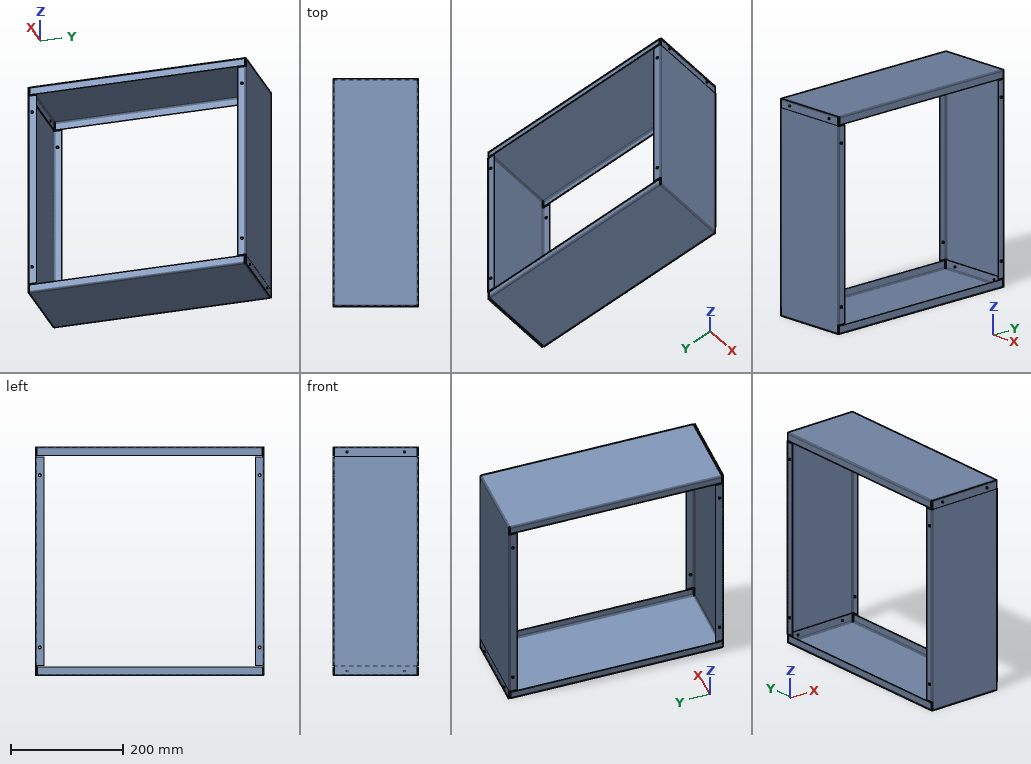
import cadquery as cq

frame_depth = 152.5
frame_side = 408.0

sheet = 1.5
bend_radius = 2.53
flange_width = 16.0
flange_setback = 3.5
tab_height = 17.5
wall_flange_inset = 18.0

mount_hole_diameter = 4.5
mount_hole_inset = 50.5
lap_hole_diameter = 3.5
tab_hole_diameter = 3.35
screw_spacing = 102.0
screw_inset = 9.0

half_depth = frame_depth / 2
half_side = frame_side / 2
inner_radius = bend_radius - sheet
inner_side = half_side - sheet
half_flat = half_depth - bend_radius
bend_start = half_side - bend_radius
wall_flange_end = half_side - wall_flange_inset


def round_bend(body, outer_corner, inner_corner):
    """Round both edges of a bend, each picked by its middle point."""
    outer_edge = cq.selectors.NearestToPointSelector(outer_corner)
    inner_edge = cq.selectors.NearestToPointSelector(inner_corner)
    return body.edges(outer_edge).fillet(bend_radius).edges(inner_edge).fillet(inner_radius)


def folded_strip():
    """Tab, panel, wall and lap between the side flanges, folded from one strip."""
    tab_outer = -inner_side
    tab_inner = tab_outer + sheet
    tab_end = half_side - tab_height
    profile = [
        (tab_outer, tab_end),
        (tab_outer, half_side),
        (half_side, half_side),
        (half_side, -half_side),
        (inner_side, -half_side),
        (inner_side, inner_side),
        (tab_inner, inner_side),
        (tab_inner, tab_end),
    ]
    strip = cq.Workplane("YZ").polyline(profile).close().extrude(half_flat, both=True)
    strip = round_bend(strip, (0, half_side, half_side), (0, inner_side, inner_side))
    return round_bend(strip, (0, tab_outer, half_side), (0, tab_inner, inner_side))


def panel_flanges(y_start, y_end):
    """Pair of flanges turned down from the two long edges of the top panel."""
    flange_inner = half_depth - sheet
    flange_edge = half_side - flange_width
    flange = (
        cq.Workplane("XZ", origin=(0, y_end, 0))
        .moveTo(half_flat, half_side)
        .radiusArc((half_depth, bend_start), bend_radius)
        .lineTo(half_depth, flange_edge)
        .lineTo(flange_inner, flange_edge)
        .lineTo(flange_inner, bend_start)
        .radiusArc((half_flat, inner_side), -inner_radius)
        .close()
        .extrude(y_end - y_start)
    )
    return flange, flange.mirror("YZ")


def wall_flanges():
    """The same flange section, turned onto the +Y wall."""
    flanges = panel_flanges(-wall_flange_end, wall_flange_end)
    return [flange.rotate((0, 0, 0), (1, 0, 0), -90) for flange in flanges]


def screw_hole_cutter(diameter, y, z):
    """Pair of pins along Y, centred on the sheet at y."""
    return (
        cq.Workplane("XZ", origin=(0, y, z))
        .pushPoints([(-screw_spacing / 2, 0), (screw_spacing / 2, 0)])
        .circle(diameter / 2)
        .extrude(sheet, both=True)
    )


def mount_hole_cutter():
    """Pair of pins along X through both wall flanges."""
    y = half_side - flange_width / 2
    z = half_side - mount_hole_inset
    return (
        cq.Workplane("YZ")
        .pushPoints([(y, -z), (y, z)])
        .circle(mount_hole_diameter / 2)
        .extrude(half_depth, both=True)
    )


def make_bracket():
    """Bracket with the top panel, the +Y wall and the tab on the -Y side."""
    bracket = folded_strip()
    for flange in panel_flanges(flange_setback - half_side, bend_start):
        bracket = bracket.union(flange)
    for flange in wall_flanges():
        bracket = bracket.union(flange)
    tab_middle = -inner_side + sheet / 2
    lap_middle = half_side - sheet / 2
    screw_height = half_side - screw_inset
    bracket = bracket.cut(screw_hole_cutter(tab_hole_diameter, tab_middle, screw_height))
    bracket = bracket.cut(screw_hole_cutter(lap_hole_diameter, lap_middle, -screw_height))
    return bracket.cut(mount_hole_cutter())


brackets = []
for turn in (0, 180):
    brackets.append(make_bracket().rotate((0, 0, 0), (1, 0, 0), turn))

result = cq.Compound.makeCompound([bracket.solids().val() for bracket in brackets])